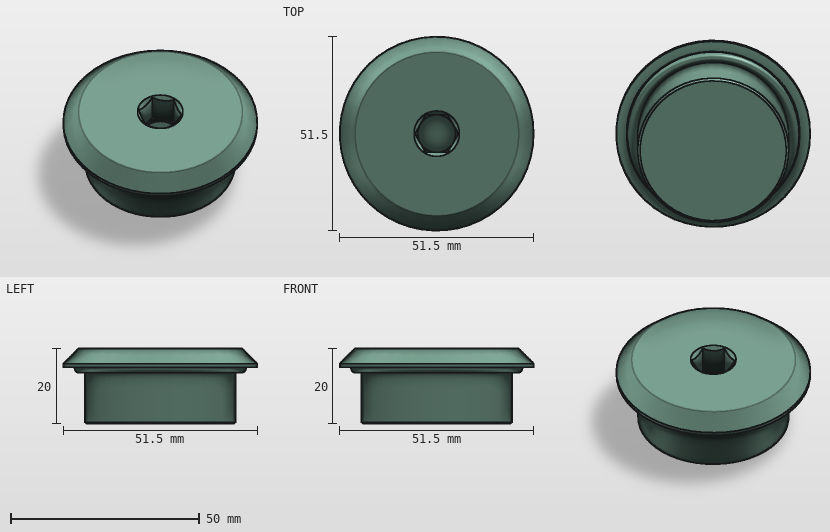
import cadquery as cq
import math

flange_radius = 25.75
shank_radius = 40.0 / 2
total_height = 20.0
flange_height = 5.0
rim_height = 1.0
top_face_radius = 21.75
shank_chamfer_width = 0.6
shank_chamfer_height = 0.45
top_edge_fillet = 0.2

flange_bottom = total_height - flange_height
groove_radius = 46.0 / 2
section_radius = 1.4
ring_projection = 1.5
ring_center_radius = shank_radius + section_radius
ring_center_height = flange_bottom - ring_projection + section_radius
groove_ceiling = ring_center_height + section_radius

hex_across_flats = 10.0
hex_depth = 8.25
socket_mouth_radius = 6.0
countersink_half_angle = 45.0
pilot_radius = hex_across_flats / 2
pilot_extra_depth = 1.05
hex_across_corners = hex_across_flats / math.cos(math.pi / 6)


def make_plug_blank():
    """Revolve the plug, with a square-cornered groove under the flange and a rounded top edge."""
    return (
        cq.Workplane("XZ")
        .lineTo(shank_radius - shank_chamfer_width, 0)
        .lineTo(shank_radius, shank_chamfer_height)
        .lineTo(shank_radius, groove_ceiling)
        .lineTo(groove_radius, groove_ceiling)
        .lineTo(groove_radius, flange_bottom)
        .lineTo(flange_radius, flange_bottom)
        .lineTo(flange_radius, flange_bottom + rim_height)
        .lineTo(top_face_radius, total_height)
        .lineTo(0, total_height)
        .close()
        .revolve(360, (0, 0), (0, 1))
        .faces(">Z")
        .edges()
        .fillet(top_edge_fillet)
    )


def make_hex_socket():
    """Hexagonal hole with a round pilot hole below it."""
    hexagon = (
        cq.Workplane("XY", origin=(0, 0, total_height))
        .polygon(6, hex_across_corners)
        .extrude(-hex_depth)
    )
    pilot = (
        cq.Workplane("XY", origin=(0, 0, total_height - hex_depth))
        .circle(pilot_radius)
        .extrude(-pilot_extra_depth)
    )
    return hexagon.union(pilot)


def make_countersink():
    """Cone that widens the socket mouth."""
    cone_depth = socket_mouth_radius / math.tan(math.radians(countersink_half_angle))
    return (
        cq.Workplane("XZ")
        .moveTo(0, total_height - cone_depth)
        .lineTo(socket_mouth_radius, total_height)
        .lineTo(0, total_height)
        .close()
        .revolve(360, (0, 0), (0, 1))
    )


def make_sealing_ring():
    """Round-section ring that sits partly in the flange groove."""
    return (
        cq.Workplane("XZ")
        .center(ring_center_radius, ring_center_height)
        .circle(section_radius)
        .revolve(360, (-ring_center_radius, 0), (-ring_center_radius, 1))
    )


plug = make_plug_blank().cut(make_hex_socket()).cut(make_countersink())
sealing_ring = make_sealing_ring()

result = cq.Compound.makeCompound([plug.val(), sealing_ring.val()])